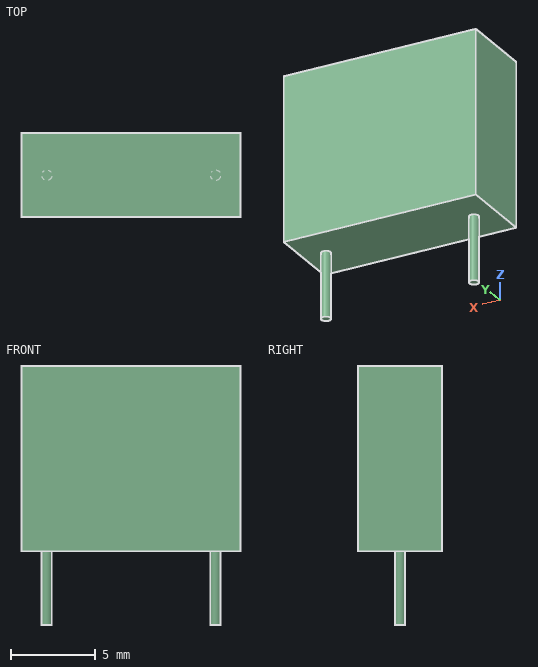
import cadquery as cq

body_length = 13.0
body_width = 5.0
total_height = 15.37
body_height = 11.0

pin_diameter = 0.61
pin_pitch = 10.0
pin_length = total_height - body_height


def make_body():
    """Rectangular case standing on the plane Z = 0."""
    return cq.Workplane("XY").box(body_length, body_width, body_height, centered=(True, True, False))


def make_pin(x):
    """Round lead hanging from the underside of the case at the given X."""
    return cq.Workplane("XY").center(x, 0).circle(pin_diameter / 2).extrude(-pin_length)


body = make_body()
pins = [make_pin(side * pin_pitch / 2) for side in (-1, 1)]

result = cq.Compound.makeCompound([body.val(), *[pin.val() for pin in pins]])